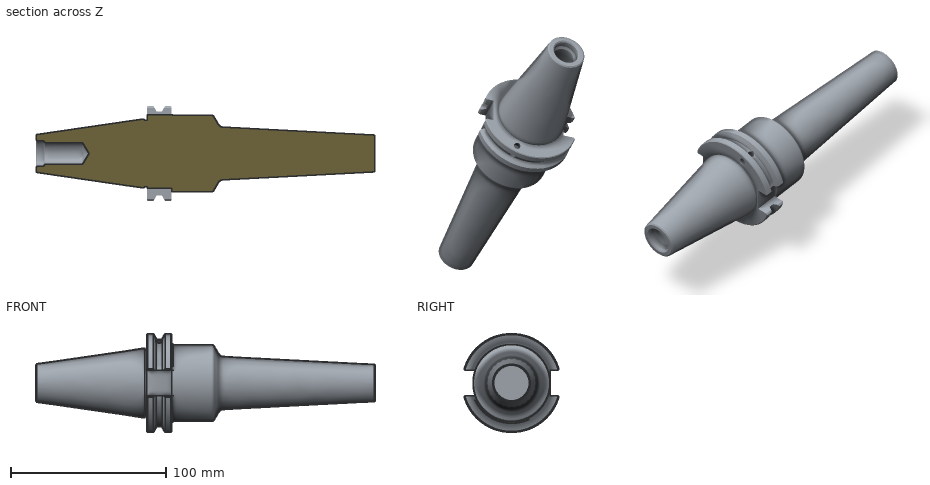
import cadquery as cq
import math


OVERALL_LENGTH = 218.25
SHANK_LENGTH = 68.25
GAUGE_TO_FLANGE = 3.18
GAUGE_TO_FLANGE_BACK = 19.05
GAUGE_TO_GROOVE_CENTRE = 11.1

GAUGE_RADIUS = 44.45 / 2
TAPER_SLOPE = 7 / 48
SHANK_END_CHAMFER = 0.7
RELIEF_RADIUS = 21.6
RELIEF_WIDTH = 1.5

FLANGE_RADIUS = 63.5 / 2
FLANGE_CHAMFER = 0.5
GROOVE_FLOOR_RADIUS = 28.1
GROOVE_OPENING = 7.5
GROOVE_FLOOR_WIDTH = 3.75
GROOVE_HALF_ANGLE = math.radians(30)
FLANGE_BACK_FILLET = 1.2

SLOT_WIDTH = 16.18
SHALLOW_SLOT_FLOOR = 25.0
DEEP_SLOT_FLOOR = 22.6
SLOT_EDGE_CHAMFER = 1.0

BODY_RADIUS = 24.75
BODY_END_FROM_GAUGE = 45.8
SHOULDER_ANGLE = math.radians(60)
SHOULDER_FILLET = 2.0
NOSE_ROOT_FILLET = 3.5
NOSE_TIP_RADIUS = 12.0
NOSE_ANGLE = math.radians(3)
NOSE_TIP_CHAMFER = 0.5

BORE_MOUTH_RADIUS = 9.0
BORE_MOUTH_CHAMFER = 0.8
COUNTERBORE_DEPTH = 4.8
THREAD_LEAD_IN = 1.2
THREAD_RADIUS = 6.75
THREAD_DEPTH = 30.0
DRILL_POINT_HALF_ANGLE = math.radians(59)

COOLANT_ENTRY_RADIUS = 26.7
COOLANT_ENTRY_ANGLE = 19.5
COOLANT_INCLINATION = math.radians(35)
COOLANT_DEPTH = 12.0
COOLANT_DIAMETER = 4.2

FLANGE_FRONT_X = SHANK_LENGTH + GAUGE_TO_FLANGE
FLANGE_BACK_X = SHANK_LENGTH + GAUGE_TO_FLANGE_BACK
FLANGE_WIDTH = FLANGE_BACK_X - FLANGE_FRONT_X
GROOVE_X = SHANK_LENGTH + GAUGE_TO_GROOVE_CENTRE
BODY_END_X = SHANK_LENGTH + BODY_END_FROM_GAUGE


def revolve_about_x(profile):
    return profile.close().revolve(360, (0, 0, 0), (1, 0, 0))


def make_shank():
    end_radius = GAUGE_RADIUS - SHANK_LENGTH * TAPER_SLOPE
    relief_x = FLANGE_FRONT_X - RELIEF_WIDTH
    profile = (
        cq.Workplane("XY")
        .lineTo(0, end_radius - SHANK_END_CHAMFER)
        .lineTo(SHANK_END_CHAMFER, end_radius + SHANK_END_CHAMFER * TAPER_SLOPE)
        .lineTo(SHANK_LENGTH, GAUGE_RADIUS)
        .lineTo(relief_x, GAUGE_RADIUS)
        .lineTo(relief_x, RELIEF_RADIUS)
        .lineTo(FLANGE_FRONT_X, RELIEF_RADIUS)
        .lineTo(FLANGE_FRONT_X, 0)
    )
    return revolve_about_x(profile)


def make_flange():
    half_opening = GROOVE_OPENING / 2
    half_floor = GROOVE_FLOOR_WIDTH / 2
    wall_foot_radius = FLANGE_RADIUS - (half_opening - half_floor) / math.tan(GROOVE_HALF_ANGLE)
    collar_end_x = FLANGE_BACK_X + FLANGE_BACK_FILLET
    profile = (
        cq.Workplane("XY")
        .moveTo(FLANGE_FRONT_X, 0)
        .lineTo(FLANGE_FRONT_X, FLANGE_RADIUS - FLANGE_CHAMFER)
        .lineTo(FLANGE_FRONT_X + FLANGE_CHAMFER, FLANGE_RADIUS)
        .lineTo(GROOVE_X - half_opening, FLANGE_RADIUS)
        .lineTo(GROOVE_X - half_floor, wall_foot_radius)
        .lineTo(GROOVE_X - half_floor, GROOVE_FLOOR_RADIUS)
        .lineTo(GROOVE_X + half_floor, GROOVE_FLOOR_RADIUS)
        .lineTo(GROOVE_X + half_floor, wall_foot_radius)
        .lineTo(GROOVE_X + half_opening, FLANGE_RADIUS)
        .lineTo(FLANGE_BACK_X - FLANGE_CHAMFER, FLANGE_RADIUS)
        .lineTo(FLANGE_BACK_X, FLANGE_RADIUS - FLANGE_CHAMFER)
        .lineTo(FLANGE_BACK_X, BODY_RADIUS + FLANGE_BACK_FILLET)
        .radiusArc((collar_end_x, BODY_RADIUS), -FLANGE_BACK_FILLET)
        .lineTo(collar_end_x, 0)
    )
    return revolve_about_x(profile)


def cut_slot(flange, side, floor):
    """Cut one drive slot and bevel its two outer edges; side is +1 or -1 along Y."""
    half_width = SLOT_WIDTH / 2
    bevel_half_width = half_width + SLOT_EDGE_CHAMFER
    tip = math.sqrt(FLANGE_RADIUS**2 - bevel_half_width**2)
    overshoot = FLANGE_RADIUS - tip
    outline = [
        (side * floor, half_width),
        (side * (tip - SLOT_EDGE_CHAMFER), half_width),
        (side * (tip + overshoot), bevel_half_width + overshoot),
    ]
    mirrored = [(y, -z) for y, z in reversed(outline)]
    cutter = (
        cq.Workplane("YZ", origin=(FLANGE_FRONT_X, 0, 0))
        .polyline(outline + mirrored)
        .close()
        .extrude(FLANGE_WIDTH + FLANGE_BACK_FILLET)
    )
    return flange.cut(cutter)


def make_body():
    """Body, conical shoulder and 3 degree nose, with the blend arcs set tangent to their neighbours."""
    tip_x = OVERALL_LENGTH
    nose_slope = math.tan(NOSE_ANGLE)
    shoulder_slope = math.tan(SHOULDER_ANGLE)

    radius_gap = BODY_RADIUS - NOSE_TIP_RADIUS - (tip_x - BODY_END_X) * nose_slope
    root_x = BODY_END_X + radius_gap / (shoulder_slope - nose_slope)
    root_radius = NOSE_TIP_RADIUS + (tip_x - root_x) * nose_slope

    edge_tangent = SHOULDER_FILLET * math.tan(SHOULDER_ANGLE / 2)
    root_tangent = NOSE_ROOT_FILLET * math.tan((SHOULDER_ANGLE - NOSE_ANGLE) / 2)
    shoulder_cos = math.cos(SHOULDER_ANGLE)
    shoulder_sin = math.sin(SHOULDER_ANGLE)
    profile = (
        cq.Workplane("XY")
        .moveTo(FLANGE_BACK_X, 0)
        .lineTo(FLANGE_BACK_X, BODY_RADIUS)
        .lineTo(BODY_END_X - edge_tangent, BODY_RADIUS)
        .radiusArc(
            (BODY_END_X + edge_tangent * shoulder_cos, BODY_RADIUS - edge_tangent * shoulder_sin),
            SHOULDER_FILLET,
        )
        .lineTo(root_x - root_tangent * shoulder_cos, root_radius + root_tangent * shoulder_sin)
        .radiusArc(
            (root_x + root_tangent * math.cos(NOSE_ANGLE), root_radius - root_tangent * math.sin(NOSE_ANGLE)),
            -NOSE_ROOT_FILLET,
        )
        .lineTo(tip_x - NOSE_TIP_CHAMFER, NOSE_TIP_RADIUS + NOSE_TIP_CHAMFER * nose_slope)
        .lineTo(tip_x, NOSE_TIP_RADIUS - NOSE_TIP_CHAMFER)
        .lineTo(tip_x, 0)
    )
    return revolve_about_x(profile)


def make_bore():
    counterbore_radius = BORE_MOUTH_RADIUS - BORE_MOUTH_CHAMFER
    point_length = THREAD_RADIUS / math.tan(DRILL_POINT_HALF_ANGLE)
    profile = (
        cq.Workplane("XY")
        .lineTo(0, BORE_MOUTH_RADIUS)
        .lineTo(BORE_MOUTH_CHAMFER, counterbore_radius)
        .lineTo(COUNTERBORE_DEPTH, counterbore_radius)
        .lineTo(COUNTERBORE_DEPTH + THREAD_LEAD_IN, THREAD_RADIUS)
        .lineTo(THREAD_DEPTH, THREAD_RADIUS)
        .lineTo(THREAD_DEPTH + point_length, 0)
    )
    return revolve_about_x(profile)


def make_coolant_channel():
    """Channel at the +Z position: its inclined hole runs inward and passes the foot of the cross hole."""
    hole_radius = COOLANT_DIAMETER / 2
    inward_slope = math.tan(COOLANT_INCLINATION)

    lead = COOLANT_DIAMETER
    inclined = cq.Solid.makeCylinder(
        hole_radius,
        (lead + COOLANT_DEPTH) / math.cos(COOLANT_INCLINATION),
        cq.Vector(FLANGE_FRONT_X - lead, 0, COOLANT_ENTRY_RADIUS + lead * inward_slope),
        cq.Vector(1, 0, -inward_slope),
    )
    cross_foot = COOLANT_ENTRY_RADIUS - (GROOVE_X - FLANGE_FRONT_X) * inward_slope
    cross = cq.Solid.makeCylinder(
        hole_radius,
        FLANGE_RADIUS - cross_foot,
        cq.Vector(GROOVE_X, 0, cross_foot),
        cq.Vector(0, 0, 1),
    )
    return cq.Workplane(inclined).union(cq.Workplane(cross))


flange = make_flange()
flange = cut_slot(flange, 1, SHALLOW_SLOT_FLOOR)
flange = cut_slot(flange, -1, DEEP_SLOT_FLOOR)

result = make_shank().union(flange).union(make_body()).cut(make_bore())
for half_turn in (0, 180):
    channel = make_coolant_channel().rotate((0, 0, 0), (1, 0, 0), COOLANT_ENTRY_ANGLE + half_turn)
    result = result.cut(channel)